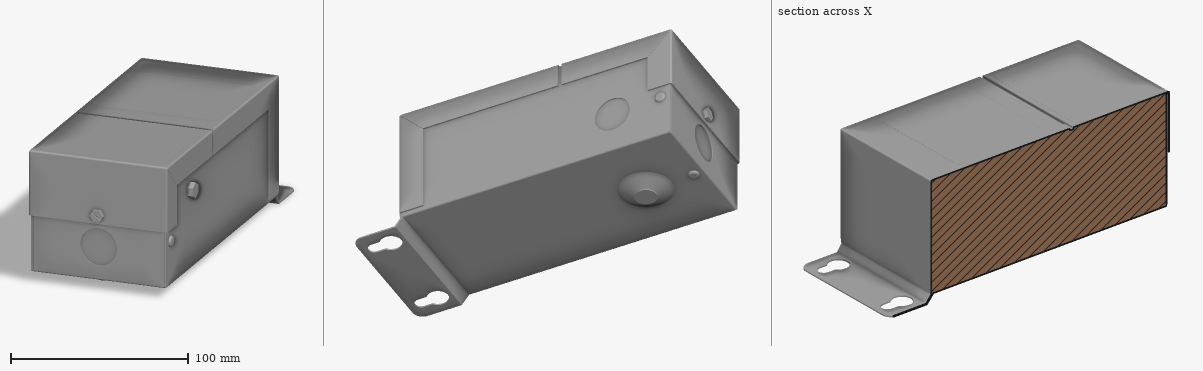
import cadquery as cq
import math


sheet = 1.2
bend_radius = 1.1
mitre_gap = 0.15

cover_width = 84.0
overall_top = 78.26
cover_length = 173.4
front_cover_length = 69.9
cover_gap = 2.5
flange = 15.2
front_cover_bottom = 39.4
rear_cover_bottom = 8.3

base_width = 82.0
base_bottom = 5.6
base_bend_radius = 1.0
side_wall = 1.0
panel_gap = 0.5
panel_gap_depth = 1.0

tab_width = 81.1
tab_end = 204.16
tab_jog_start = 171.6
tab_jog_end = 176.7
tab_corner_radius = 6.35
tab_thickness = 0.9
keyhole_spacing = 57.15
keyhole_head_diameter = 12.9
keyhole_neck_width = 7.7
keyhole_head_y = 185.3
keyhole_neck_y = 195.8

label_width = 77.2
label_length = 63.5
label_radius = 6.35
label_height = 0.1
label_centers_y = (front_cover_length / 2, 117.8)

knockout_diameter = 22.2
knockout_depth = 0.8
front_knockout_z = 25.4
side_fitting_y = 38.1
side_knockout_z = 31.0

rivet_diameter = 6.6
rivet_height = 1.5
rivet_edge_radius = 1.4
rivet_y = 7.6
rivet_z = 31.9

screw_flats = 6.8
screw_reach = 2.6
screw_z = 44.7
screw_slot_width = 1.0
screw_slot_depth = 1.2
screw_slot_angle = 32
nut_flats = 8.2
nut_reach = 2.37
nut_z = 52.9

dimple_rim_radius = 16.2
dimple_cone_radius = 14.2
dimple_foot_radius = 6.6
dimple_foot_height = 0.5
dimple_cone_height = 4.7

cover_half = cover_width / 2
base_half = base_width / 2
cover_sheet_top = overall_top - label_height
base_top = cover_sheet_top - sheet


def block(x0, x1, y0, y1, z0, z1):
    """Box between two corners."""
    return cq.Workplane("XY").box(x1 - x0, y1 - y0, z1 - z0, centered=False).translate((x0, y0, z0))


def across_corners(flats):
    """Diameter across corners of a hexagon given across flats."""
    return flats / math.cos(math.pi / 6)


def make_base():
    """Solid base with bent lower edges, and gaps beside the front panel."""
    base = block(-base_half, base_half, sheet, cover_length, base_bottom, base_top)
    base = base.edges("<Z and (|Y or <Y)").fillet(base_bend_radius)
    for side in (-1, 1):
        gap_x = side * (base_half - side_wall - panel_gap / 2)
        base = base.cut(block(gap_x - panel_gap / 2, gap_x + panel_gap / 2,
                              sheet, sheet + panel_gap_depth, base_bottom, base_top))
    return base


def make_cover(end_y, open_y, bottom):
    """One cover: an end panel at end_y, a top that runs to open_y, and flanges along both sides."""
    inward = math.copysign(1, open_y - end_y)
    low_y, high_y = sorted((end_y, open_y))
    shell = block(-cover_half, cover_half, low_y, high_y, bottom, cover_sheet_top)
    end_face = "<Y" if inward > 0 else ">Y"
    shell = shell.edges(f"(>Z and |Y) or ({end_face} and >Z) or ({end_face} and |Z)").fillet(bend_radius)

    inner_end, inner_open = sorted((end_y + inward * sheet, open_y))
    shell = shell.cut(block(-base_half, base_half, inner_end, inner_open, bottom, base_top))

    window_low, window_high = sorted((end_y + inward * flange, open_y))
    shell = shell.cut(block(-cover_half, cover_half, window_low, window_high, bottom, overall_top - flange))

    reach = flange - bend_radius
    start_y = end_y + inward * bend_radius
    start_z = cover_sheet_top - bend_radius
    drop = mitre_gap * math.sqrt(2)
    slit = (
        cq.Workplane("YZ")
        .moveTo(start_y, start_z)
        .lineTo(start_y + inward * reach, start_z - reach)
        .lineTo(start_y + inward * reach, start_z - reach - drop)
        .lineTo(start_y, start_z - drop)
        .close()
        .extrude(cover_half, both=True)
        .cut(block(-base_half, base_half, low_y, high_y, bottom, cover_sheet_top))
    )
    return shell.cut(slit)


def make_tab():
    """Tab jogged down from the base, with rounded corners and two keyholes."""
    profile = [
        (tab_jog_start, base_bottom + tab_thickness),
        (tab_jog_start, base_bottom),
        (tab_jog_end - tab_thickness / 2, 0),
        (tab_end, 0),
        (tab_end, tab_thickness),
        (tab_jog_end, tab_thickness),
        (tab_jog_start + tab_thickness, base_bottom + tab_thickness),
    ]
    tab = cq.Workplane("YZ").polyline(profile).close().extrude(tab_width / 2, both=True)
    tab = tab.edges("|Z and >Y").fillet(tab_corner_radius)
    for x in (-keyhole_spacing / 2, keyhole_spacing / 2):
        head = cq.Workplane("XY").center(x, keyhole_head_y).circle(keyhole_head_diameter / 2)
        neck_tip = cq.Workplane("XY").center(x, keyhole_neck_y).circle(keyhole_neck_width / 2)
        neck = block(x - keyhole_neck_width / 2, x + keyhole_neck_width / 2,
                     keyhole_head_y, keyhole_neck_y, 0, tab_thickness)
        tab = tab.cut(head.extrude(tab_thickness)).cut(neck_tip.extrude(tab_thickness)).cut(neck)
    return tab


def make_label(center_y):
    """Thin rounded plate lying on a cover."""
    plate = cq.Workplane("XY").box(label_width, label_length, label_height, centered=(True, True, False))
    return plate.edges("|Z").fillet(label_radius).translate((0, center_y, cover_sheet_top))


def make_rivet(point, direction):
    """Rounded rivet head standing on a face."""
    face = cq.Workplane(cq.Plane(origin=point, normal=direction))
    head = face.circle(rivet_diameter / 2).extrude(rivet_height)
    rim = cq.Vector(*point) + cq.Vector(*direction) * rivet_height
    return head.edges(cq.selectors.NearestToPointSelector(rim.toTuple())).fillet(rivet_edge_radius)


def make_screw():
    """Slotted hexagon screw head on the front cover."""
    head = cq.Workplane("XZ").polygon(6, across_corners(screw_flats)).extrude(screw_reach)
    slot = (
        cq.Workplane("XZ", origin=(0, -screw_reach, 0))
        .transformed(rotate=(0, 0, -screw_slot_angle))
        .rect(2 * screw_flats, screw_slot_width)
        .extrude(-screw_slot_depth)
    )
    return head.cut(slot).translate((0, 0, screw_z))


def make_nut():
    """Hexagon nut on the +X wall, corners up and down."""
    return (
        cq.Workplane("YZ", origin=(base_half, side_fitting_y, nut_z))
        .transformed(rotate=(0, 0, 90))
        .polygon(6, across_corners(nut_flats))
        .extrude(cover_half + nut_reach - base_half)
    )


def make_dimple():
    """Dished foot under the base: a cone that flares into the bottom sheet."""
    return (
        cq.Workplane("XZ")
        .lineTo(dimple_foot_radius, 0)
        .lineTo(dimple_foot_radius, dimple_foot_height)
        .lineTo(dimple_cone_radius, dimple_cone_height)
        .tangentArcPoint((dimple_rim_radius, base_bottom), relative=False)
        .lineTo(0, base_bottom)
        .close()
        .revolve(360, (0, 0, 0), (0, 1, 0))
        .translate((0, side_fitting_y, 0))
    )


def cut_knockouts(body):
    """Shallow round recesses in the front and in the -X side."""
    front = (
        cq.Workplane("XZ", origin=(0, sheet, front_knockout_z))
        .circle(knockout_diameter / 2)
        .extrude(-knockout_depth)
    )
    side = (
        cq.Workplane("YZ", origin=(-base_half, side_fitting_y, side_knockout_z))
        .circle(knockout_diameter / 2)
        .extrude(knockout_depth)
    )
    return body.cut(front).cut(side)


result = cut_knockouts(make_base())
result = result.union(make_cover(0, front_cover_length, front_cover_bottom))
result = result.union(make_cover(cover_length, front_cover_length + cover_gap, rear_cover_bottom))
result = result.union(make_tab())
for label_y in label_centers_y:
    result = result.union(make_label(label_y))
result = result.union(make_rivet((-base_half, rivet_y, rivet_z), (-1, 0, 0)))
result = result.union(make_rivet((base_half, rivet_y, rivet_z), (1, 0, 0)))
result = result.union(make_rivet((0, rivet_y, base_bottom), (0, 0, -1)))
result = result.union(make_screw()).union(make_nut()).union(make_dimple())